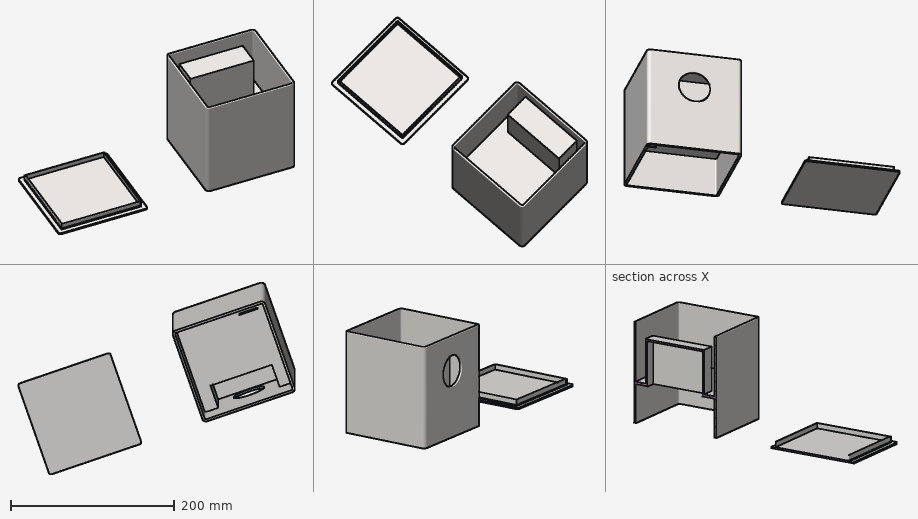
import cadquery as cq


side = 120.0
total_depth = 319.8

box_height = 130.0
wall = 3.0
rim_round = 1.0
inner_corner_radius = 1.98
outer_corner_radius = inner_corner_radius + wall
floor_underside = 50.0
floor_thickness = 3.8
box_y = (total_depth - side) / 2

duct_length = 35.2
duct_width = 85.7
duct_top = 110.5
opening_diameter = 40.0
opening_height = 85.0
opening_round = 0.5

slot_width = 1.3
slot_length = 24.0
slot_x = 44.5
slot_y = 34.5

lid_corner_radius = 3.0
lip_side = 108.0
lip_thickness = 1.15
lip_round = 1.1
plate_thickness = 2.0
lid_floor = 3.0
lip_top = 10.0
lid_y = -box_y


def rounded_block(size, radius, bottom, top):
    """Upright square block with rounded vertical edges."""
    block = cq.Workplane("XY").workplane(offset=bottom).rect(size, size).extrude(top - bottom)
    return block.edges("|Z").fillet(radius)


def make_duct(inset):
    """Block of the duct's outside, or of its inside when inset by the wall thickness."""
    left = -side / 2 + wall
    right = -side / 2 + duct_length - inset
    bottom = floor_underside
    height = duct_top - inset - bottom
    return (
        cq.Workplane("XY")
        .box(right - left, duct_width - 2 * inset, height, centered=(False, True, False))
        .translate((left, 0, bottom))
    )


def make_box():
    inner_side = side - 2 * wall
    body = rounded_block(side, outer_corner_radius, 0, box_height)
    lower_chamber = rounded_block(inner_side, inner_corner_radius, 0, floor_underside)
    upper_chamber = rounded_block(inner_side, inner_corner_radius, floor_underside + floor_thickness, box_height)
    body = body.cut(lower_chamber).cut(upper_chamber)
    body = body.faces(">Z").edges().fillet(rim_round)

    body = body.union(make_duct(0)).cut(make_duct(wall))

    opening = (
        cq.Workplane("YZ")
        .workplane(offset=-side / 2)
        .center(0, opening_height)
        .circle(opening_diameter / 2)
        .extrude(wall)
    )
    body = body.cut(opening)
    body = body.faces("<X").edges("%CIRCLE").fillet(opening_round)

    slot = (
        cq.Workplane("XY")
        .box(slot_width, slot_length, floor_thickness, centered=(True, True, False))
        .translate((slot_x, slot_y, floor_underside))
    )
    return body.cut(slot).translate((0, box_y, 0))


def make_lid():
    plate = rounded_block(side, lid_corner_radius, 0, plate_thickness)
    lip_base = cq.Workplane("XY").workplane(offset=plate_thickness)
    lip_height = lip_top - plate_thickness
    lip_inner_side = lip_side - 2 * lip_thickness
    lip = lip_base.rect(lip_side, lip_side).extrude(lip_height)
    lip = lip.faces(">Z").edges().fillet(lip_round)
    lip_hollow = (
        cq.Workplane("XY")
        .workplane(offset=lid_floor)
        .rect(lip_inner_side, lip_inner_side)
        .extrude(lip_top - lid_floor)
    )
    return plate.union(lip.cut(lip_hollow)).translate((0, lid_y, 0))


box = make_box()
lid = make_lid()
result = cq.Compound.makeCompound([box.val(), lid.val()])